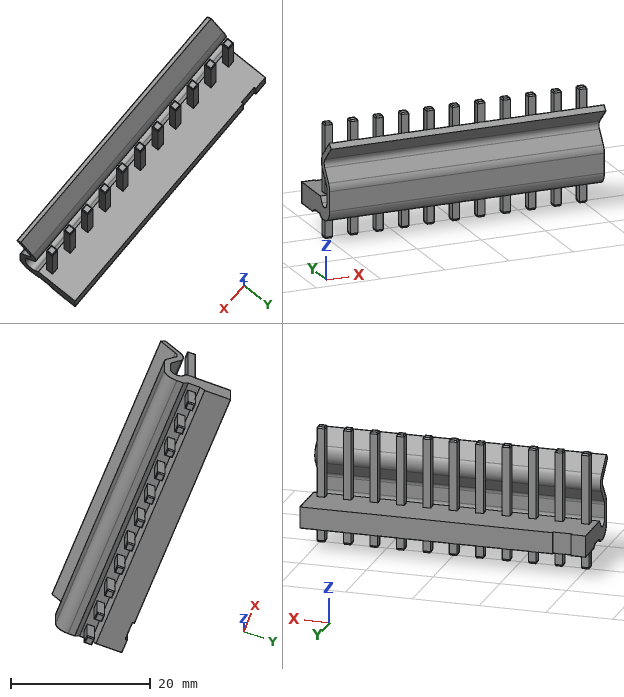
import cadquery as cq
import math


length = 42.8
base_height = 3.2
back_y = 5.6
base_front_y = -1.2

wall_thickness = 1.0
wall_front_y = -4.6
wall_bend_z = 5.55
neck_z = 8.7
lip_tip_y = -5.15
lean_angle = 36.0
lip_angle = 45.0
inner_bend_radius = 1.0
outer_bend_radius = inner_bend_radius + wall_thickness
heel_radius = 1.93

trough_z = 1.93
trough_radius = 1.0

groove_depth = 0.5
groove_half_top = 0.9
groove_half_bottom = 1.63

notch_start = 2.15
notch_width = 2.82
notch_depth = 0.3

pin_count = 11
pin_pitch = 3.96
pin_width = 1.15
pin_top_z = 13.82
pin_bottom_z = -3.65
tip_height = 0.25
tip_inset = 0.13


def tangent(degrees):
    return math.tan(math.radians(degrees))


def make_body():
    """Extrude the base and lock wall profile, then round its bends."""
    neck_y = wall_front_y + (neck_z - wall_bend_z) * tangent(lean_angle)
    lip_tip_z = neck_z + (neck_y - lip_tip_y) / tangent(lip_angle)

    wall_rear_y = wall_front_y + wall_thickness
    rear_bend_z = wall_bend_z - wall_thickness * tangent(lean_angle / 2)
    miter_tilt = (lip_angle - lean_angle) / 2
    miter_length = wall_thickness / math.cos(math.radians((lip_angle + lean_angle) / 2))
    rear_neck_y = neck_y + miter_length * math.cos(math.radians(miter_tilt))
    rear_neck_z = neck_z + miter_length * math.sin(math.radians(miter_tilt))
    lip_rear_y = lip_tip_y + wall_thickness * math.cos(math.radians(lip_angle))
    lip_rear_z = lip_tip_z + wall_thickness * math.sin(math.radians(lip_angle))

    center_y = wall_rear_y + trough_radius
    center_z = trough_z + trough_radius
    run_to_center = base_front_y - center_y
    drop_to_center = base_height - center_z
    slope_angle = math.atan2(drop_to_center, run_to_center) + math.asin(
        trough_radius / math.hypot(run_to_center, drop_to_center)
    )
    slope_end = (
        center_y + trough_radius * math.sin(slope_angle),
        center_z - trough_radius * math.cos(slope_angle),
    )
    trough_bottom = (center_y, trough_z)
    trough_end = (wall_rear_y, center_z)

    base_top = [
        (back_y, 0),
        (back_y, base_height),
        (base_front_y, base_height),
        slope_end,
    ]
    wall_and_underside = [
        (wall_rear_y, rear_bend_z),
        (rear_neck_y, rear_neck_z),
        (lip_rear_y, lip_rear_z),
        (lip_tip_y, lip_tip_z),
        (neck_y, neck_z),
        (wall_front_y, wall_bend_z),
        (wall_front_y, 0),
        (-groove_half_bottom, 0),
        (-groove_half_top, groove_depth),
        (groove_half_top, groove_depth),
        (groove_half_bottom, 0),
    ]
    body = cq.Workplane("YZ").polyline(base_top).threePointArc(trough_bottom, trough_end)
    for y, z in wall_and_underside:
        body = body.lineTo(y, z)
    body = body.close().extrude(length / 2, both=True)

    rounded_corners = [
        (wall_front_y, 0, heel_radius),
        (wall_front_y, wall_bend_z, outer_bend_radius),
        (wall_rear_y, rear_bend_z, inner_bend_radius),
        (neck_y, neck_z, inner_bend_radius),
        (rear_neck_y, rear_neck_z, outer_bend_radius),
    ]
    for y, z, radius in rounded_corners:
        body = body.edges(cq.selectors.NearestToPointSelector((0, y, z))).fillet(radius)
    return body


def make_notch():
    """Block that cuts the notch through the full height of the rear face."""
    return cq.Workplane("XY").box(notch_width, notch_depth, base_height, centered=False).translate(
        (notch_start - length / 2, back_y - notch_depth, 0)
    )


def make_pin_tip(height):
    """Tapered pin end on Z = 0; a negative height points it downward."""
    end_width = pin_width - 2 * tip_inset
    return (
        cq.Workplane("XY")
        .rect(pin_width, pin_width)
        .workplane(offset=height)
        .rect(end_width, end_width)
        .loft(ruled=True)
    )


def make_pin():
    """Square pin with both ends tapered."""
    shank_bottom = pin_bottom_z + tip_height
    shank_top = pin_top_z - tip_height
    shank = (
        cq.Workplane("XY", origin=(0, 0, shank_bottom))
        .rect(pin_width, pin_width)
        .extrude(shank_top - shank_bottom)
    )
    upper_tip = make_pin_tip(tip_height).translate((0, 0, shank_top))
    lower_tip = make_pin_tip(-tip_height).translate((0, 0, shank_bottom))
    return shank.union(upper_tip).union(lower_tip)


result = make_body().cut(make_notch())
pin = make_pin()
for index in range(pin_count):
    pin_x = (index - (pin_count - 1) / 2) * pin_pitch
    result = result.union(pin.translate((pin_x, 0, 0)))